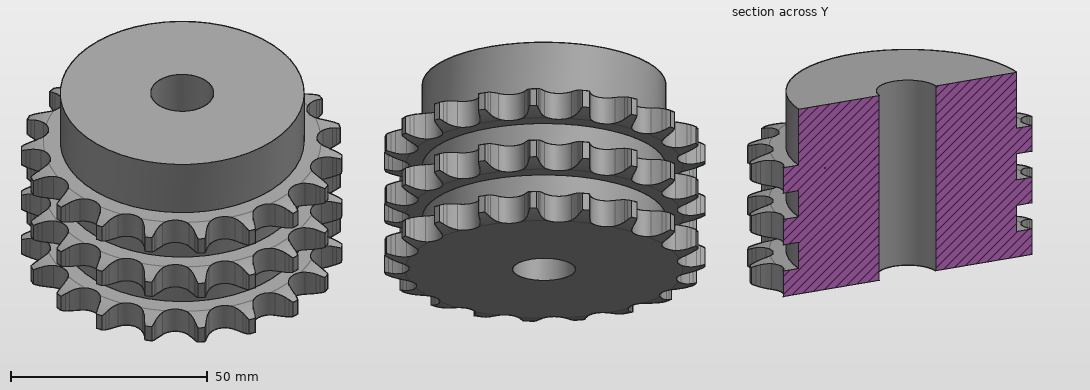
import cadquery as cq
import math


total_height = 50.0
hub_diameter = 62.0
bore_diameter = 16.0

ring_count = 3
ring_spacing = 13.95
ring_thickness = 7.0
tooth_count = 19
outer_radius = 40.85
pitch_radius = 38.6

seat_radius = 4.3
seat_half_angle = 51.8
hollow_radius = 11.1
hollow_angle = 15.0
straight_length = 1.1
tip_flank_radius = 7.0
tip_flank_angle = 30.0

relief_start_radius = 35.2
relief_radius = 13.05


def arc_point(start, heading, turn, radius):
    """Point reached on an arc that leaves start along heading; a positive turn is to the left (degrees)."""
    chord = 2 * radius * math.sin(math.radians(abs(turn)) / 2)
    direction = math.radians(heading + turn / 2)
    return (start[0] + chord * math.cos(direction), start[1] + chord * math.sin(direction))


def mirrored(point):
    return (-point[0], point[1])


def make_gap_cutter():
    """Prism that clears one tooth gap, centred on +Y."""
    bottom = (0, pitch_radius - seat_radius)
    seat_end = arc_point(bottom, 0, seat_half_angle, seat_radius)

    hollow_mid = arc_point(seat_end, seat_half_angle, hollow_angle / 2, hollow_radius)
    hollow_end = arc_point(seat_end, seat_half_angle, hollow_angle, hollow_radius)

    flank_heading = seat_half_angle + hollow_angle
    straight_end = (
        hollow_end[0] + straight_length * math.cos(math.radians(flank_heading)),
        hollow_end[1] + straight_length * math.sin(math.radians(flank_heading)),
    )

    tip_mid = arc_point(straight_end, flank_heading, -tip_flank_angle / 2, tip_flank_radius)
    tip_end = arc_point(straight_end, flank_heading, -tip_flank_angle, tip_flank_radius)

    return (
        cq.Workplane("XY")
        .moveTo(*mirrored(tip_end))
        .threePointArc(mirrored(tip_mid), mirrored(straight_end))
        .lineTo(*mirrored(hollow_end))
        .threePointArc(mirrored(hollow_mid), mirrored(seat_end))
        .threePointArc(bottom, seat_end)
        .threePointArc(hollow_mid, hollow_end)
        .lineTo(*straight_end)
        .threePointArc(tip_mid, tip_end)
        .close()
        .extrude(ring_thickness)
    )


def relief_depth(radius):
    """Drop of the relieved tooth side below the flat ring face."""
    run = radius - relief_start_radius
    return relief_radius - math.sqrt(relief_radius**2 - run**2)


def make_blank():
    """Untoothed ring standing on Z = 0, with relieved sides."""
    mid_radius = (relief_start_radius + outer_radius) / 2
    mid_drop = relief_depth(mid_radius)
    rim_drop = relief_depth(outer_radius)
    return (
        cq.Workplane("XZ")
        .lineTo(relief_start_radius, 0)
        .threePointArc((mid_radius, mid_drop), (outer_radius, rim_drop))
        .lineTo(outer_radius, ring_thickness - rim_drop)
        .threePointArc(
            (mid_radius, ring_thickness - mid_drop),
            (relief_start_radius, ring_thickness),
        )
        .lineTo(0, ring_thickness)
        .close()
        .revolve(360, (0, 0, 0), (0, 1, 0))
    )


def make_tooth_ring():
    ring = make_blank()
    gap_cutter = make_gap_cutter()
    for index in range(tooth_count):
        angle = index * 360 / tooth_count
        ring = ring.cut(gap_cutter.rotate((0, 0, 0), (0, 0, 1), angle))
    return ring


result = cq.Workplane("XY").circle(hub_diameter / 2).extrude(total_height)
tooth_ring = make_tooth_ring()
for level in range(ring_count):
    result = result.union(tooth_ring.translate((0, 0, level * ring_spacing)))

bore = cq.Workplane("XY").circle(bore_diameter / 2).extrude(total_height)
result = result.cut(bore)